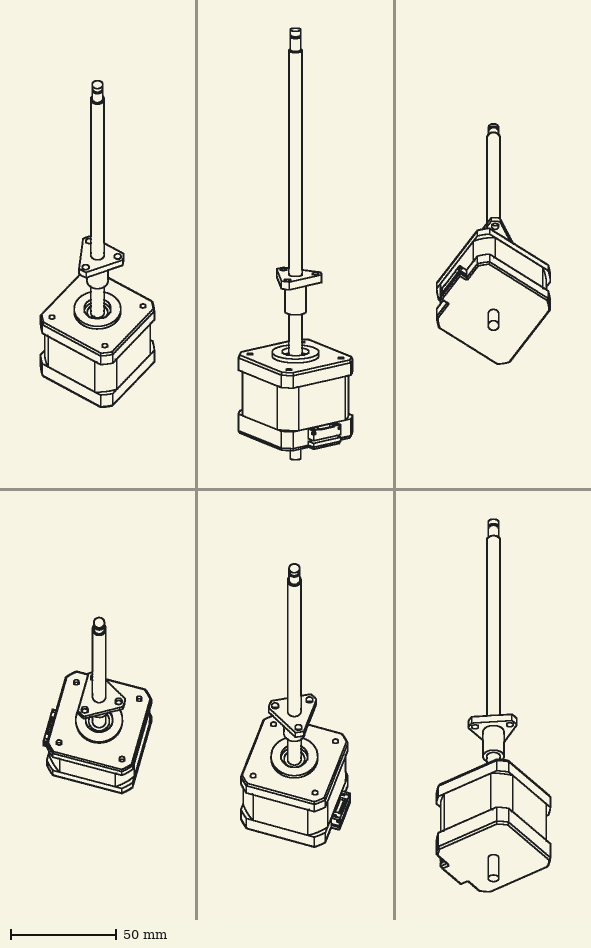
import cadquery as cq
import math

frame_width = 42.2
half_width = frame_width / 2
cap_corner_radius = 27.0
stator_corner_radius = 25.2
z_motor_bottom = 12.2
z_stator_bottom = 21.8
z_stator_top = 43.5
z_motor_top = 51.0
rim_bevel_height = 1.3
rim_bevel_inset = 0.6

boss_radius = 11.0
boss_height = 2.1
boss_chamfer_height = 0.2
boss_chamfer_inset = 1.0
recess_radius = 6.5
recess_depth = 2.5
step_radius = 5.0
step_depth = 0.5
mount_spacing = 31.0
mount_hole_diameter = 2.5
mount_hole_depth = 4.3

total_height = 213.2
screw_diameter = 6.5
journal_diameter = 5.1
z_journal_bottom = 203.2
screw_chamfer = 0.5
groove_width = 0.9
groove_depth = 0.2
z_groove = 209.6

z_nut_bottom = 73.0
z_nut_top = 91.5
flange_thickness = 3.8
collar_diameter = 10.0
flange_side_distance = 7.9
flange_tip_distance = 12.4
flange_hole_circle_radius = 9.5
flange_hole_diameter = 3.2

connector_width = 16.2
connector_reach = 4.0
z_connector_bottom = 16.6
shelf_thickness = 3.2
window_width = 8.5
window_wall = 0.5
window_depth = 1.7
lip_step_count = 2
lip_step_width = 0.9
lip_step_drop = 0.5
side_step_width = 1.3
side_step_drop = 0.2
key_width = 0.9
key_length = 1.3
key_depth = 1.3
side_notch_length = 1.3
side_notch_height = 0.9
side_notch_drop = 1.3


def cylinder(radius, z_low, z_high):
    return cq.Workplane("XY").workplane(offset=z_low).circle(radius).extrude(z_high - z_low)


def block(x_center, width, y_low, y_high, z_low, z_high):
    return (
        cq.Workplane("XY")
        .box(width, y_high - y_low, z_high - z_low, centered=(True, False, False))
        .translate((x_center, y_low, z_low))
    )


def frame_prism(corner_radius, z_low, z_high):
    """Square prism whose four corners are rounded about the motor axis."""
    square = block(0, frame_width, -half_width, half_width, z_low, z_high)
    return square.intersect(cylinder(corner_radius, z_low, z_high))


def add_beveled_rim(cap, end):
    """Lengthen a cap at one end face by a rim that narrows outwards."""
    taper = math.degrees(math.atan(rim_bevel_inset / rim_bevel_height))
    return cap.faces(end).wires().toPending().workplane().extrude(rim_bevel_height, taper=taper)


def make_lead_screw():
    z_floor = z_motor_top + boss_height - recess_depth - step_depth
    z_groove_top = z_groove + groove_width
    shaft = cylinder(journal_diameter / 2, 0, z_floor)
    thread = cylinder(screw_diameter / 2, z_floor, z_journal_bottom).faces(">Z").chamfer(screw_chamfer)
    journal = cylinder(journal_diameter / 2, z_journal_bottom, total_height)
    groove = cylinder(screw_diameter / 2, z_groove, z_groove_top).cut(
        cylinder(journal_diameter / 2 - groove_depth, z_groove, z_groove_top)
    )
    return shaft.union(thread).union(journal).cut(groove)


def make_nut():
    z_flange = z_nut_top - flange_thickness
    triangle_circumradius = 2 * flange_side_distance
    flange = (
        cq.Workplane("XY")
        .workplane(offset=z_flange)
        .transformed(rotate=(0, 0, -90))
        .polygon(3, 2 * triangle_circumradius)
        .extrude(flange_thickness)
        .intersect(cylinder(flange_tip_distance, z_flange, z_nut_top))
    )
    holes = (
        cq.Workplane("XY")
        .workplane(offset=z_flange)
        .polarArray(flange_hole_circle_radius, -90, 360, 3)
        .circle(flange_hole_diameter / 2)
        .extrude(flange_thickness)
    )
    collar = cylinder(collar_diameter / 2, z_nut_bottom, z_flange)
    bore = cylinder(screw_diameter / 2, z_nut_bottom, z_nut_top)
    return flange.cut(holes).union(collar).cut(bore)


def make_front_cap():
    z_boss_top = z_motor_top + boss_height
    z_recess = z_boss_top - recess_depth
    z_step = z_recess - step_depth
    cap = frame_prism(cap_corner_radius, z_stator_top, z_motor_top - rim_bevel_height)
    cap = add_beveled_rim(cap, ">Z")
    boss = cylinder(boss_radius, z_motor_top, z_boss_top)
    boss = boss.faces(">Z").chamfer(boss_chamfer_height, boss_chamfer_inset)
    mount_holes = (
        cq.Workplane("XY")
        .workplane(offset=z_motor_top)
        .rect(mount_spacing, mount_spacing, forConstruction=True)
        .vertices()
        .circle(mount_hole_diameter / 2)
        .extrude(-mount_hole_depth)
    )
    return (
        cap.union(boss)
        .cut(mount_holes)
        .cut(cylinder(recess_radius, z_recess, z_boss_top))
        .cut(cylinder(step_radius, z_step, z_recess))
        .cut(cylinder(journal_diameter / 2, z_stator_top, z_step))
    )


def make_stator():
    bore = cylinder(journal_diameter / 2, z_stator_bottom, z_stator_top)
    return frame_prism(stator_corner_radius, z_stator_bottom, z_stator_top).cut(bore)


def make_rear_cap():
    """Rear cap with a shelf that reaches out below the connector."""
    z_rim = z_motor_bottom + rim_bevel_height
    cap = frame_prism(cap_corner_radius, z_rim, z_stator_bottom)
    shelf = block(
        0, connector_width, 0, half_width + connector_reach,
        z_rim, z_motor_bottom + shelf_thickness,
    )
    cap = add_beveled_rim(cap.union(shelf), "<Z")
    bore = cylinder(journal_diameter / 2, z_motor_bottom, z_stator_bottom)
    return cap.cut(bore)


def make_connector():
    y_front = half_width + connector_reach
    z_top = z_stator_bottom
    body = block(0, connector_width, half_width, y_front, z_connector_bottom, z_top)
    for step in range(lip_step_count):
        y_step = y_front - (step + 1) * lip_step_width
        z_step = z_top - (step + 1) * lip_step_drop
        body = body.cut(block(0, window_width, y_step, y_step + lip_step_width, z_step, z_top))
    y_window_end = y_front - lip_step_count * lip_step_width
    body = body.cut(
        block(0, window_width, half_width + window_wall, y_window_end, z_top - window_depth, z_top)
    )
    z_notch_top = z_top - side_notch_drop
    for side in (-1, 1):
        x_step = side * (connector_width - side_step_width) / 2
        x_key = side * (connector_width / 2 - side_step_width - key_width / 2)
        y_key = half_width + window_wall
        body = body.cut(block(x_step, side_step_width, half_width, y_front, z_top - side_step_drop, z_top))
        body = body.cut(block(x_key, key_width, y_key, y_key + key_length, z_top - key_depth, z_top))
        body = body.cut(
            block(
                x_step, side_step_width, y_front - side_notch_length, y_front,
                z_notch_top - side_notch_height, z_notch_top,
            )
        )
    return body


lead_screw = make_lead_screw()
nut = make_nut()
front_cap = make_front_cap()
stator = make_stator()
rear_cap = make_rear_cap()
connector = make_connector()

result = cq.Compound.makeCompound(
    [lead_screw.val(), nut.val(), front_cap.val(), stator.val(), rear_cap.val(), connector.val()]
)